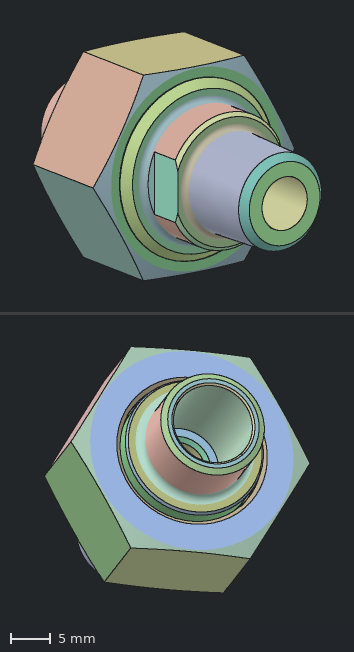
import cadquery as cq
import math


spigot_shoulder_x = 8.9
nut_start_x = 10.45
nut_end_x = 25.0
collar_end_x = 26.05
wrench_end_x = 32.05
total_length = 44.0

spigot_radius = 13.5 / 2
spigot_bore_radius = 10.3 / 2
spigot_bevel_length = 0.45
spigot_bevel_depth = 0.8
spigot_bore_chamfer = 0.25
shoulder_radius = 18.0 / 2
shoulder_chamfer_length = 0.45
shoulder_chamfer_depth = 0.25
spigot_fillet = 1.0
head_thickness = 3.5

across_flats = 27.0
corner_radius = across_flats / math.sqrt(3)
face_circle_radius = 13.265
corner_chamfer_length = 0.7
nut_lip_radius = 18.5 / 2
nut_lip_thickness = 2.65
nut_lip_chamfer = 0.55

thread_radius = 23.85 / 2
collar_chamfer = 1.2
body_bore_radius = 7.0 / 2
body_bore_chamfer = 0.55
wrench_radius = shoulder_radius
wrench_chamfer = 0.55
wrench_fillet = 0.8
flat_start_x = collar_end_x + 0.92
flat_half_width = 8.0
pipe_radius = spigot_radius
pipe_taper = 1 / 32
pipe_end_chamfer = 0.95
pipe_fillet = 0.75

head_start_x = nut_start_x + nut_lip_thickness
seat_x = head_start_x + head_thickness


def fillet_to_shoulder(profile, shoulder_x, radius, fillet, side):
    """Concave quarter arc at a shoulder; side -1 climbs to it, +1 descends from it."""
    base = (shoulder_x + side * fillet, radius)
    top = (shoulder_x, radius + fillet)
    inset = fillet * (1 - math.sqrt(0.5))
    middle = (shoulder_x + side * inset, radius + inset)
    if side < 0:
        return profile.lineTo(*base).threePointArc(middle, top)
    return profile.lineTo(*top).threePointArc(middle, base)


def revolve_about_x(profile):
    return profile.close().revolve(360, (0, 0, 0), (1, 0, 0))


def make_tailpiece():
    profile = (
        cq.Workplane("XY")
        .moveTo(seat_x, spigot_bore_radius)
        .lineTo(spigot_bore_chamfer, spigot_bore_radius)
        .lineTo(0, spigot_bore_radius + spigot_bore_chamfer)
        .lineTo(0, spigot_radius - spigot_bevel_depth)
        .lineTo(spigot_bevel_length, spigot_radius)
    )
    profile = fillet_to_shoulder(profile, spigot_shoulder_x, spigot_radius, spigot_fillet, -1)
    profile = (
        profile
        .lineTo(spigot_shoulder_x, shoulder_radius - shoulder_chamfer_depth)
        .lineTo(spigot_shoulder_x + shoulder_chamfer_length, shoulder_radius)
        .lineTo(head_start_x, shoulder_radius)
        .lineTo(head_start_x, thread_radius)
        .lineTo(seat_x, thread_radius)
    )
    return revolve_about_x(profile)


def make_nut():
    hexagon = (
        cq.Workplane("YZ", origin=(nut_start_x, 0, 0))
        .polygon(6, 2 * corner_radius)
        .extrude(nut_end_x - nut_start_x)
    )
    envelope = revolve_about_x(
        cq.Workplane("XY")
        .moveTo(nut_start_x, nut_lip_radius + nut_lip_chamfer)
        .lineTo(nut_start_x, face_circle_radius)
        .lineTo(nut_start_x + corner_chamfer_length, corner_radius)
        .lineTo(nut_end_x - corner_chamfer_length, corner_radius)
        .lineTo(nut_end_x, face_circle_radius)
        .lineTo(nut_end_x, thread_radius)
        .lineTo(head_start_x, thread_radius)
        .lineTo(head_start_x, nut_lip_radius)
        .lineTo(nut_start_x + nut_lip_chamfer, nut_lip_radius)
    )
    return hexagon.intersect(envelope)


def cut_wrench_flats(body):
    """Cut two parallel flats, facing +Y and -Y."""
    flat_length = wrench_end_x - flat_start_x
    for side in (-1, 1):
        cutter = cq.Workplane("XY").box(flat_length, wrench_radius, 2 * wrench_radius).translate(
            (flat_start_x + flat_length / 2, side * (flat_half_width + wrench_radius / 2), 0)
        )
        body = body.cut(cutter)
    return body


def make_male_body():
    pipe_start_x = wrench_end_x + pipe_fillet
    pipe_chamfer_x = total_length - pipe_end_chamfer
    pipe_tip_radius = pipe_radius - pipe_taper * (pipe_chamfer_x - pipe_start_x)
    profile = (
        cq.Workplane("XY")
        .moveTo(seat_x + body_bore_chamfer, body_bore_radius)
        .lineTo(seat_x, body_bore_radius + body_bore_chamfer)
        .lineTo(seat_x, thread_radius)
        .lineTo(collar_end_x - collar_chamfer, thread_radius)
        .lineTo(collar_end_x, thread_radius - collar_chamfer)
    )
    profile = fillet_to_shoulder(profile, collar_end_x, wrench_radius, wrench_fillet, 1)
    profile = (
        profile
        .lineTo(wrench_end_x - wrench_chamfer, wrench_radius)
        .lineTo(wrench_end_x, wrench_radius - wrench_chamfer)
    )
    profile = fillet_to_shoulder(profile, wrench_end_x, pipe_radius, pipe_fillet, 1)
    profile = (
        profile
        .lineTo(pipe_chamfer_x, pipe_tip_radius)
        .lineTo(total_length, pipe_tip_radius - pipe_end_chamfer)
        .lineTo(total_length, body_bore_radius)
    )
    return cut_wrench_flats(revolve_about_x(profile))


tailpiece = make_tailpiece()
nut = make_nut()
male_body = make_male_body()

result = cq.Compound.makeCompound([tailpiece.val(), nut.val(), male_body.val()])